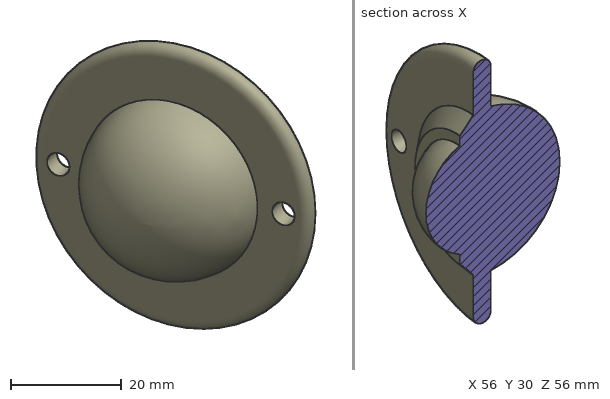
import cadquery as cq
import math

flange_radius = 28.0
flange_thickness = 4.0
half_thickness = flange_thickness / 2
rim_center_radius = flange_radius - half_thickness

dome_base_radius = 17.5
dome_reach = 15.4
dome_radius = (dome_base_radius**2 + dome_reach**2) / (2 * dome_reach)
dome_center_y = dome_radius - dome_reach - half_thickness

collar_base_radius = 17.0
collar_top_radius = 13.7
collar_height = 3.0
collar_top_y = half_thickness + collar_height

ball_radius = 12.6

hole_diameter = 4.5
hole_offset = 22.75


def make_flange_and_collar():
    """Half section (radius, y) of the flange and collar, turned about the Y axis."""
    section = (
        cq.Workplane("XY")
        .moveTo(0, -half_thickness)
        .lineTo(rim_center_radius, -half_thickness)
        .threePointArc((flange_radius, 0), (rim_center_radius, half_thickness))
        .lineTo(collar_base_radius, half_thickness)
        .lineTo(collar_top_radius, collar_top_y)
        .lineTo(0, collar_top_y)
        .close()
    )
    return section.revolve(360, (0, 0, 0), (0, 1, 0))


def make_front_dome():
    """Spherical cap on the -Y face, rooted in the flange's middle plane."""
    root_radius = math.sqrt(dome_radius**2 - dome_center_y**2)
    tip_y = -half_thickness - dome_reach
    section = (
        cq.Workplane("XY")
        .moveTo(0, tip_y)
        .threePointArc((dome_base_radius, -half_thickness), (root_radius, 0))
        .lineTo(0, 0)
        .close()
    )
    return section.revolve(360, (0, 0, 0), (0, 1, 0))


def make_rear_ball():
    return cq.Workplane("XY").sphere(ball_radius)


def make_mounting_holes():
    return (
        cq.Workplane("XZ")
        .pushPoints([(-hole_offset, 0), (hole_offset, 0)])
        .circle(hole_diameter / 2)
        .extrude(half_thickness, both=True)
    )


result = (
    make_flange_and_collar()
    .union(make_front_dome())
    .union(make_rear_ball())
    .cut(make_mounting_holes())
)